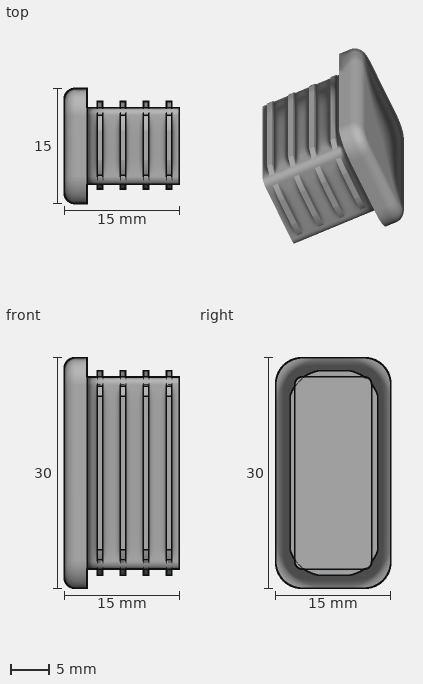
import cadquery as cq
import math

cap_width = 15.0
cap_height = 30.0
cap_thickness = 3.0
cap_corner_radius = 3.5
cap_edge_radius = 1.5

cap_overhang = 2.5
plug_length = 12.0
plug_width = cap_width - 2 * cap_overhang
plug_height = cap_height - 2 * cap_overhang
plug_corner_radius = cap_corner_radius - cap_overhang

fin_count = 4
fin_thickness = 0.7
fin_pitch = 3.0
first_fin_gap = 1.3
fin_half_width = 5.7
fin_rise = 0.8
fin_half_height = plug_height / 2 + fin_rise
fin_end_half_flat = 1.9
fin_side_half_flat = 10.0
fin_corner_radius = 4.7
fin_offset_y = 0.1


def make_cap():
    """Rounded rectangular plate with its outer rim filleted."""
    return (
        cq.Workplane("YZ")
        .rect(cap_width, cap_height)
        .extrude(cap_thickness)
        .edges("|X")
        .fillet(cap_corner_radius)
        .faces("<X")
        .edges()
        .fillet(cap_edge_radius)
    )


def make_plug_block():
    """Rounded block before the fin slots are cut."""
    return (
        cq.Workplane("YZ", origin=(cap_thickness, 0, 0))
        .rect(plug_width, plug_height)
        .extrude(plug_length)
        .edges("|X")
        .fillet(plug_corner_radius)
    )


def corner_arc_middle():
    """Middle point (y, z) of the fin's +Y +Z corner arc."""
    chord_y = fin_half_width - fin_end_half_flat
    chord_z = fin_half_height - fin_side_half_flat
    chord = math.hypot(chord_y, chord_z)
    bulge = fin_corner_radius - math.sqrt(fin_corner_radius**2 - (chord / 2) ** 2)
    middle_y = (fin_half_width + fin_end_half_flat) / 2 + bulge * chord_z / chord
    middle_z = (fin_half_height + fin_side_half_flat) / 2 + bulge * chord_y / chord
    return middle_y, middle_z


def make_fin(start_x):
    """Plate with straight sides joined by broad corner arcs."""
    arc_y, arc_z = corner_arc_middle()
    return (
        cq.Workplane("YZ", origin=(start_x, fin_offset_y, 0))
        .moveTo(-fin_end_half_flat, fin_half_height)
        .lineTo(fin_end_half_flat, fin_half_height)
        .threePointArc((arc_y, arc_z), (fin_half_width, fin_side_half_flat))
        .lineTo(fin_half_width, -fin_side_half_flat)
        .threePointArc((arc_y, -arc_z), (fin_end_half_flat, -fin_half_height))
        .lineTo(-fin_end_half_flat, -fin_half_height)
        .threePointArc((-arc_y, -arc_z), (-fin_half_width, -fin_side_half_flat))
        .lineTo(-fin_half_width, fin_side_half_flat)
        .threePointArc((-arc_y, arc_z), (-fin_end_half_flat, fin_half_height))
        .close()
        .extrude(fin_thickness)
    )


cap = make_cap()

first_fin_x = cap_thickness + first_fin_gap
fins = [make_fin(first_fin_x + index * fin_pitch) for index in range(fin_count)]

plug = make_plug_block()
for fin in fins:
    plug = plug.cut(fin)

bodies = [cap, plug, *fins]
result = cq.Compound.makeCompound([body.solids().val() for body in bodies])